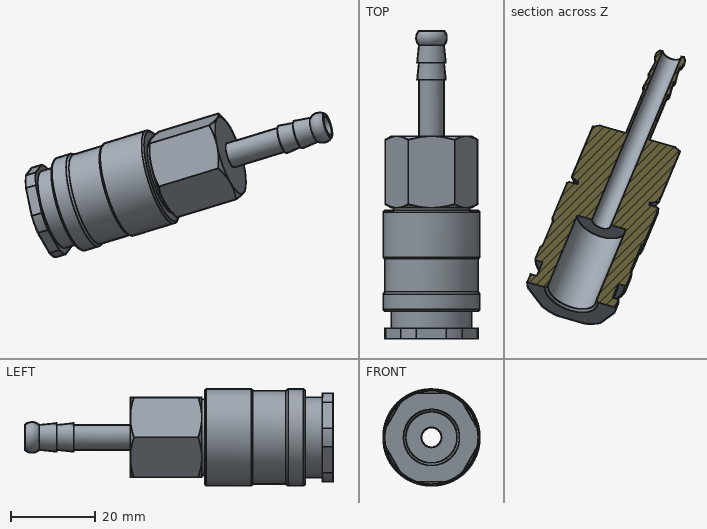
import cadquery as cq
import math

LENGTH = 73.0

FLANGE_RADIUS = 11.1
FLANGE_ACROSS_FLATS = 21.0
FLANGE_END = 2.55
NECK_RADIUS = 9.55

SLEEVE_DIAMETER = 23.0
SLEEVE_RADIUS = SLEEVE_DIAMETER / 2
WAIST_RADIUS = 11.1
EDGE_CHAMFER = 0.45
SLEEVE_START = 6.6
RING_END = 10.6
WAIST_START = 11.2
WAIST_END = 19.0
SLEEVE_END = 30.45

HEX_ACROSS_FLATS = 19.0
HEX_START = 31.1
HEX_END = 48.0
HEX_CHAMFER_ANGLE = 30.0
GROOVE_RADIUS = 9.05

STEM_RADIUS = 3.0
BARB_RADIUS = 3.4
BARB_STARTS = (61.5, 65.5)
BULB_START = 69.65
BULB_DIAMETER = 7.4

SOCKET_RADIUS = 6.05
SOCKET_DEPTH = 21.9
SOCKET_CHAMFER = 0.6
BORE_RADIUS = 2.3


def revolve_profile(profile):
    """Revolve a closed (radius, Y) profile about the Y axis."""
    return profile.close().revolve(360, (0, 0, 0), (0, 1, 0))


def cylinder(radius, start, end):
    profile = cq.Workplane("XY").moveTo(0, start).lineTo(radius, start).lineTo(radius, end).lineTo(0, end)
    return revolve_profile(profile)


def hexagon(across_flats, start, end):
    """Hexagonal prism along Y, with corners on the X axis and flats facing Z."""
    across_corners = across_flats / math.cos(math.pi / 6)
    plane = cq.Workplane("XZ", origin=(0, start, 0))
    return plane.polygon(6, across_corners).extrude(start - end)


def flange():
    disc = cylinder(FLANGE_RADIUS, 0, FLANGE_END)
    return disc.intersect(hexagon(FLANGE_ACROSS_FLATS, 0, FLANGE_END))


def sleeve():
    """Neck, chamfered front ring, waist and chamfered rear grip."""
    chamfered_radius = SLEEVE_RADIUS - EDGE_CHAMFER
    profile = cq.Workplane("XY").polyline([
        (0, FLANGE_END),
        (NECK_RADIUS, FLANGE_END),
        (NECK_RADIUS, SLEEVE_START),
        (chamfered_radius, SLEEVE_START),
        (SLEEVE_RADIUS, SLEEVE_START + EDGE_CHAMFER),
        (SLEEVE_RADIUS, RING_END),
        (WAIST_RADIUS, WAIST_START),
        (WAIST_RADIUS, WAIST_END),
        (SLEEVE_RADIUS, WAIST_END + EDGE_CHAMFER),
        (SLEEVE_RADIUS, SLEEVE_END - EDGE_CHAMFER),
        (chamfered_radius, SLEEVE_END),
        (0, SLEEVE_END),
    ])
    return revolve_profile(profile)


def hex_body():
    """Hexagon with both ends coned down to its inscribed circle."""
    inner_radius = HEX_ACROSS_FLATS / 2
    corner_radius = inner_radius / math.cos(math.pi / 6)
    chamfer_height = (corner_radius - inner_radius) * math.tan(math.radians(HEX_CHAMFER_ANGLE))
    envelope = revolve_profile(cq.Workplane("XY").polyline([
        (0, HEX_START),
        (inner_radius, HEX_START),
        (corner_radius, HEX_START + chamfer_height),
        (corner_radius, HEX_END - chamfer_height),
        (inner_radius, HEX_END),
        (0, HEX_END),
    ]))
    return hexagon(HEX_ACROSS_FLATS, HEX_START, HEX_END).intersect(envelope)


def hose_stem():
    """Plain stem, tapered barbs and a rounded bulb at the tip."""
    profile = cq.Workplane("XY").moveTo(0, HEX_END).lineTo(STEM_RADIUS, HEX_END)
    profile = profile.lineTo(STEM_RADIUS, BARB_STARTS[0])
    barb_ends = BARB_STARTS[1:] + (BULB_START,)
    for start, end in zip(BARB_STARTS, barb_ends):
        profile = profile.lineTo(BARB_RADIUS, start).lineTo(STEM_RADIUS, end)
    bulb_middle = (BULB_START + LENGTH) / 2
    profile = profile.threePointArc((BULB_DIAMETER / 2, bulb_middle), (STEM_RADIUS, LENGTH))
    return revolve_profile(profile.lineTo(0, LENGTH))


def passages():
    """Plug socket with a chamfered mouth, and the bore through the stem."""
    socket = revolve_profile(cq.Workplane("XY").polyline([
        (0, 0),
        (SOCKET_RADIUS + SOCKET_CHAMFER, 0),
        (SOCKET_RADIUS, SOCKET_CHAMFER),
        (SOCKET_RADIUS, SOCKET_DEPTH),
        (0, SOCKET_DEPTH),
    ]))
    return socket.union(cylinder(BORE_RADIUS, 0, LENGTH))


groove = cylinder(GROOVE_RADIUS, SLEEVE_END, HEX_START)
body = flange().union(sleeve()).union(groove).union(hex_body()).union(hose_stem())
result = body.cut(passages())